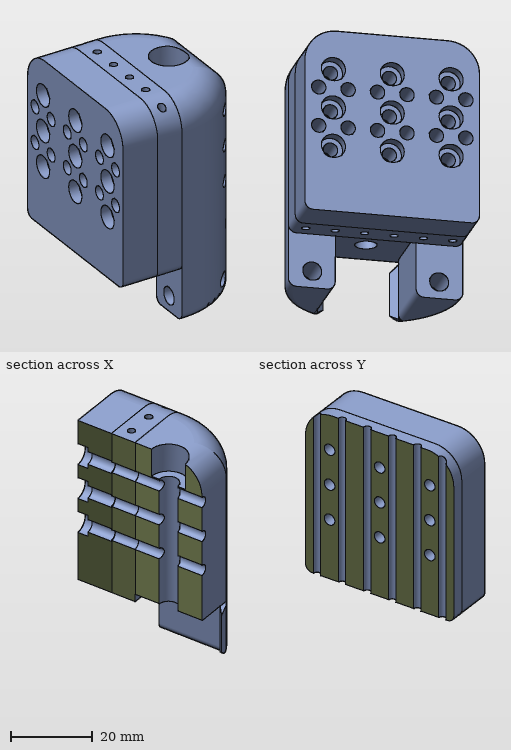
import cadquery as cq
import math

width = 44.0
height = 61.0
housing_depth = 20.0
middle_thickness = 7.0
front_thickness = 10.0
plate_bottom = 13.95
plate_height = height - plate_bottom
top_radius = 8.0
bottom_radius = 2.0

side_straight = 1.05
back_width = 20.4

opening_width = back_width
opening_height = 16.15
lip_bevel = 1.8
flare_start = 13.1
lip_foot_rise = bottom_radius
lip_foot_run = 2.7

bore_y = 10.0
bore_diameter = 5.5
bore_top_diameter = 10.0
bore_top_depth = 8.0

bolt_pitch_x = 14.8
bolt_pitch_z = 10.0
bolt_middle_z = 41.0
bolt_diameter = 3.0
bolt_clearance_diameter = 3.6
bolt_head_diameter = 6.05
bolt_head_depth = 3.0

string_count = 6
string_pitch = bolt_pitch_x / 2
string_diameter = 2.0
string_y = -3.65
set_screw_diameter = 3.6

leg_hole_x = 16.0
leg_hole_z = 4.35
leg_hole_diameter = 3.5
leg_counterbore_diameter = 4.75
leg_counterbore_depth = 10.0

bolt_points = [
    (column * bolt_pitch_x, bolt_middle_z + row * bolt_pitch_z)
    for column in (-1, 0, 1)
    for row in (-1, 0, 1)
]
string_xs = [(index - (string_count - 1) / 2) * string_pitch for index in range(string_count)]
set_screw_points = [
    (x, bolt_middle_z + side * bolt_pitch_z / 2) for x in string_xs for side in (-1, 1)
]
leg_hole_points = [(side * leg_hole_x, leg_hole_z) for side in (-1, 1)]


def cylinders_along_y(points, diameter, y_start, length):
    """Cylinders at the (x, z) points, running from y_start toward +Y."""
    plane = cq.Workplane("XZ", origin=(0, y_start, 0))
    return plane.pushPoints(points).circle(diameter / 2).extrude(-length)


def make_plate(y_start, thickness):
    """Upright plate with large upper and small lower corner radii."""
    block = cq.Workplane("XY").box(width, thickness, plate_height, centered=(True, False, False))
    block = block.edges("|Y and >Z").fillet(top_radius)
    block = block.edges("|Y and <Z").fillet(bottom_radius)
    return block.translate((0, y_start, plate_bottom))


def make_channel():
    """Cutter for the gap between the legs, whose lower edges round outward."""
    half_opening = opening_width / 2
    half_foot = half_opening + bottom_radius
    bend = bottom_radius * (1 - math.sqrt(0.5))
    return (
        cq.Workplane("XZ")
        .moveTo(-half_foot, 0)
        .lineTo(half_foot, 0)
        .threePointArc((half_opening + bend, bend), (half_opening, bottom_radius))
        .lineTo(half_opening, opening_height)
        .lineTo(-half_opening, opening_height)
        .lineTo(-half_opening, bottom_radius)
        .threePointArc((-half_opening - bend, bend), (-half_foot, 0))
        .close()
        .extrude(-housing_depth)
    )


def make_lip_limit():
    """Plan of the gap: full width at the front, bevelled inward at the back."""
    half_block = width / 2
    half_opening = opening_width / 2
    half_throat = half_opening - lip_bevel
    bevel_start = housing_depth - lip_bevel
    return (
        cq.Workplane("XY")
        .moveTo(-half_block, 0)
        .lineTo(half_block, 0)
        .lineTo(half_block, bevel_start)
        .lineTo(half_opening, bevel_start)
        .lineTo(half_throat, housing_depth)
        .lineTo(-half_throat, housing_depth)
        .lineTo(-half_opening, bevel_start)
        .lineTo(-half_block, bevel_start)
        .close()
        .extrude(opening_height)
    )


def make_throat():
    """Cutter through the lip, spreading outward at its top and its foot."""
    half_throat = opening_width / 2 - lip_bevel
    half_top = half_throat + opening_height - flare_start
    half_foot = half_throat + lip_foot_run
    return (
        cq.Workplane("XZ", origin=(0, housing_depth - lip_bevel, 0))
        .moveTo(-half_foot, 0)
        .lineTo(half_foot, 0)
        .lineTo(half_throat, lip_foot_rise)
        .lineTo(half_throat, flare_start)
        .lineTo(half_top, opening_height)
        .lineTo(-half_top, opening_height)
        .lineTo(-half_throat, flare_start)
        .lineTo(-half_throat, lip_foot_rise)
        .close()
        .extrude(-lip_bevel)
    )


def make_housing_blank():
    """Housing outline with the opening cut out and its top and bottom rims rounded."""
    half_width = width / 2
    half_back = back_width / 2
    half = (
        cq.Workplane("XY")
        .moveTo(0, 0)
        .lineTo(half_width, 0)
        .lineTo(half_width, side_straight)
        .tangentArcPoint((half_back, housing_depth), relative=False)
        .lineTo(0, housing_depth)
        .close()
        .extrude(height)
    )
    half = half.faces(">Z").edges("not (<X or <Y)").fillet(top_radius)
    half = half.faces("<Z").edges("not (<X or <Y)").fillet(bottom_radius)
    blank = half.union(half.mirror("YZ")).clean()
    channel = make_channel().intersect(make_lip_limit())
    return blank.cut(channel).cut(make_throat())


def make_housing():
    """Rear body with its stepped bore, bolt holes and leg mounting holes."""
    housing = make_housing_blank()
    bore = cq.Workplane("XY", origin=(0, bore_y, 0)).circle(bore_diameter / 2).extrude(height)
    bore_top = (
        cq.Workplane("XY", origin=(0, bore_y, height - bore_top_depth))
        .circle(bore_top_diameter / 2)
        .extrude(bore_top_depth)
    )
    housing = housing.cut(bore).cut(bore_top)
    housing = housing.cut(cylinders_along_y(bolt_points, bolt_diameter, 0, housing_depth))
    housing = housing.cut(cylinders_along_y(leg_hole_points, leg_hole_diameter, 0, housing_depth))
    return housing.cut(
        cylinders_along_y(leg_hole_points, leg_counterbore_diameter, 0, leg_counterbore_depth)
    )


def make_middle_plate():
    """Plate behind the front plate, pierced by the bolts and the vertical string holes."""
    y_start = -middle_thickness
    plate = make_plate(y_start, middle_thickness)
    plate = plate.cut(cylinders_along_y(bolt_points, bolt_diameter, y_start, middle_thickness))
    strings = (
        cq.Workplane("XY", origin=(0, string_y, plate_bottom))
        .pushPoints([(x, 0) for x in string_xs])
        .circle(string_diameter / 2)
        .extrude(plate_height)
    )
    return plate.cut(strings)


def make_front_plate():
    """Front plate with counterbored bolt holes and set screw holes."""
    y_start = -middle_thickness - front_thickness
    plate = make_plate(y_start, front_thickness)
    plate = plate.cut(
        cylinders_along_y(bolt_points, bolt_clearance_diameter, y_start, front_thickness)
    )
    plate = plate.cut(cylinders_along_y(bolt_points, bolt_head_diameter, y_start, bolt_head_depth))
    return plate.cut(
        cylinders_along_y(set_screw_points, set_screw_diameter, y_start, front_thickness)
    )


housing = make_housing()
middle_plate = make_middle_plate()
front_plate = make_front_plate()

result = cq.Compound.makeCompound([housing.val(), middle_plate.val(), front_plate.val()])